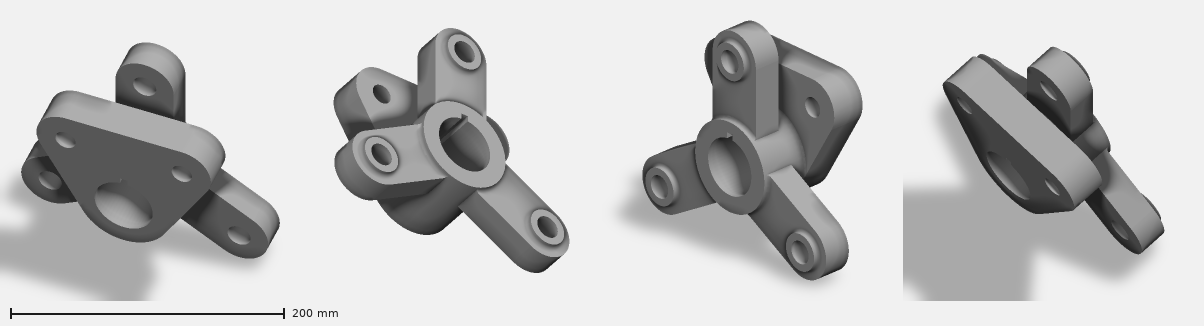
import cadquery as cq
import math

base_unit = 22.88

total_depth = 3.0 * base_unit
plate_thickness = 1.25 * base_unit
arm_thickness = base_unit
boss_height = 0.2 * base_unit
arm_back_y = total_depth - boss_height
arm_front_y = arm_back_y - arm_thickness

hub_radius = 1.6 * base_unit
bore_radius = base_unit
keyway_width = 0.25 * base_unit
keyway_top_z = 1.2 * base_unit

plate_corner_radius = base_unit
plate_hole_x = 2.0 * base_unit
plate_hole_z = 2.25 * base_unit
plate_hole_radius = 0.35 * base_unit

arm_angles = (90, 210, 330)
arm_reach = 3.75 * base_unit
arm_end_radius = base_unit
arm_hole_radius = 0.4 * base_unit
boss_radius = 0.65 * base_unit

fillet_radius = 0.1 * base_unit


def extrude_along_y(profile, start_y, depth):
    """Extrude a wire drawn on the XZ plane from start_y towards +Y."""
    return profile.extrude(-depth).translate((0, start_y, 0))


def cylinder(x, z, radius, start_y, depth):
    """Cylinder along Y, centred at (x, z)."""
    return extrude_along_y(cq.Workplane("XZ").center(x, z).circle(radius), start_y, depth)


def fillet_flare(radius, face_y):
    """Flared disc whose rim is the concave fillet between the face at face_y and a cylinder above it."""
    outer_radius = radius + fillet_radius
    rise_y = face_y + fillet_radius
    arc_offset = fillet_radius * math.sqrt(0.5)
    arc_middle = (outer_radius - arc_offset, rise_y - arc_offset)
    return (
        cq.Workplane("XY")
        .moveTo(0, face_y)
        .lineTo(outer_radius, face_y)
        .threePointArc(arc_middle, (radius, rise_y))
        .lineTo(0, rise_y)
        .close()
        .revolve(360, (0, 0, 0), (0, 1, 0))
    )


def plate_outline():
    """Plate outline made of two corner arcs, the hub arc and their common tangent lines."""
    top_z = plate_hole_z + plate_corner_radius
    centre_distance = math.hypot(plate_hole_x, plate_hole_z)
    taper = math.asin((hub_radius - plate_corner_radius) / centre_distance)
    normal_angle = math.atan2(plate_hole_z, plate_hole_x) - math.pi / 2 + taper
    normal_x = math.cos(normal_angle)
    normal_z = math.sin(normal_angle)

    corner_x = plate_hole_x + plate_corner_radius * normal_x
    corner_z = plate_hole_z + plate_corner_radius * normal_z
    hub_x = hub_radius * normal_x
    hub_z = hub_radius * normal_z
    middle_angle = (normal_angle + math.pi / 2) / 2
    middle_x = plate_hole_x + plate_corner_radius * math.cos(middle_angle)
    middle_z = plate_hole_z + plate_corner_radius * math.sin(middle_angle)

    return (
        cq.Workplane("XZ")
        .moveTo(-plate_hole_x, top_z)
        .lineTo(plate_hole_x, top_z)
        .threePointArc((middle_x, middle_z), (corner_x, corner_z))
        .lineTo(hub_x, hub_z)
        .threePointArc((0, -hub_radius), (-hub_x, hub_z))
        .lineTo(-corner_x, corner_z)
        .threePointArc((-middle_x, middle_z), (-plate_hole_x, top_z))
        .close()
    )


def make_plate_and_hub():
    """Plate with its two holes, the hub, and their fillet trimmed to the plate outline."""
    plate = extrude_along_y(plate_outline(), 0, plate_thickness)
    hub = cylinder(0, 0, hub_radius, 0, total_depth)
    hub_fillet = fillet_flare(hub_radius, plate_thickness)
    hub_fillet = hub_fillet.intersect(extrude_along_y(plate_outline(), plate_thickness, fillet_radius))
    plate_and_hub = plate.union(hub).union(hub_fillet)
    for hole_x in (-plate_hole_x, plate_hole_x):
        hole = cylinder(hole_x, plate_hole_z, plate_hole_radius, 0, plate_thickness)
        plate_and_hub = plate_and_hub.cut(hole)
    return plate_and_hub


def make_arm_body(angle, start_y, depth):
    """Round-ended arm pointing away from the hub axis, angle measured from +X towards +Z."""
    bar = cq.Workplane("XZ").center(arm_reach / 2, 0).rect(arm_reach, 2 * arm_end_radius)
    body = extrude_along_y(bar, start_y, depth)
    body = body.union(cylinder(arm_reach, 0, arm_end_radius, start_y, depth))
    return body.rotate((0, 0, 0), (0, 1, 0), -angle)


def make_arm(angle):
    """Arm with its raised boss, the boss fillet and the fillet running onto the hub."""
    x = arm_reach * math.cos(math.radians(angle))
    z = arm_reach * math.sin(math.radians(angle))
    hub_fillet = fillet_flare(hub_radius, arm_back_y)
    hub_fillet = hub_fillet.intersect(make_arm_body(angle, arm_back_y, fillet_radius))
    boss_fillet = fillet_flare(boss_radius, arm_back_y).translate((x, 0, z))
    return (
        make_arm_body(angle, arm_front_y, arm_thickness)
        .union(cylinder(x, z, boss_radius, arm_back_y, boss_height))
        .union(boss_fillet)
        .union(hub_fillet)
        .cut(cylinder(x, z, arm_hole_radius, arm_front_y, arm_thickness + boss_height))
    )


def make_bore():
    """Through bore with a keyway at its top."""
    slot = cq.Workplane("XZ").center(0, keyway_top_z / 2).rect(keyway_width, keyway_top_z)
    return cylinder(0, 0, bore_radius, 0, total_depth).union(extrude_along_y(slot, 0, total_depth))


body = make_plate_and_hub()
for arm_angle in arm_angles:
    body = body.union(make_arm(arm_angle))

result = body.cut(make_bore())